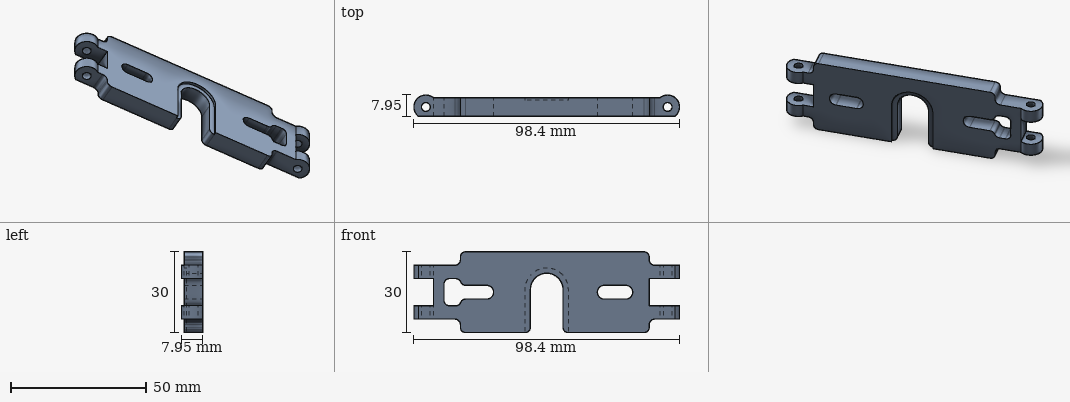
import cadquery as cq
import math

thickness = 7.0
body_height = 30.0
body_left = -32.0
body_right = 38.0
corner_radius = 2.0

arm_height = 5.0
arm_gap = 10.0
arm_span = arm_gap + 2 * arm_height
left_notch_end = -42.0
right_notch_end = body_right

eye_x = 44.75
eye_radius = 4.45
eye_y = thickness / 2
pin_diameter = 3.2

u_slot_width = 12.0
u_slot_center_z = 1.0

recess_depth = 1.0
recess_margin = 2.0

slot_width = 5.0
right_slot_start = 18.8
right_slot_end = 31.8
left_slot_end = -19.7

window_left = -38.0
window_height = 10.0
neck_end = body_left + corner_radius


def block(x_start, x_end, height, depth=thickness):
    """Box centred on Z = 0 that reaches back from the front face at Y = 0."""
    box = cq.Workplane("XY").box(x_end - x_start, depth, height, centered=(False, False, True))
    return box.translate((x_start, 0, 0))


def corner(x, z):
    """Selector for the edge parallel to Y that passes through (x, z)."""
    reach = 0.1
    return cq.selectors.BoxSelector(
        (x - reach, -reach, z - reach), (x + reach, thickness + reach, z + reach)
    )


def round_corners(solid, points, radius):
    """Fillet the edges parallel to Y at the given (x, z) points."""
    for x, z in points:
        solid = solid.edges("|Y").edges(corner(x, z)).fillet(radius)
    return solid


def mirrored_corners(x_values, z):
    """(x, z) points above and below the middle of the plate."""
    return [(x, side * z) for x in x_values for side in (1, -1)]


def eyes(diameter):
    """Upright cylinders on both hinge axes, as tall as the arm span."""
    return (
        cq.Workplane("XY", origin=(0, eye_y, -arm_span / 2))
        .pushPoints([(-eye_x, 0), (eye_x, 0)])
        .circle(diameter / 2)
        .extrude(arm_span)
    )


def make_body():
    """Plate with hinge arms, without the inner slots."""
    tip = eye_x + eye_radius
    eye_back = eye_y + eye_radius
    ends = [body_left, body_right]

    body = block(body_left, body_right, body_height).union(block(-eye_x, eye_x, arm_span))
    body = round_corners(body, mirrored_corners(ends, body_height / 2), corner_radius)
    body = round_corners(body, mirrored_corners(ends, arm_span / 2), corner_radius)

    trimmed_eyes = eyes(2 * eye_radius).intersect(block(-tip, tip, arm_span, eye_back))
    body = body.union(trimmed_eyes).cut(eyes(pin_diameter))

    body = body.cut(block(-tip, left_notch_end, arm_gap, eye_back))
    return body.cut(block(right_notch_end, tip, arm_gap, eye_back))


def u_slot(half_width, depth):
    """Cutter for a round-topped slot open at the lower edge, starting at the front face."""
    bottom = -body_height / 2
    return (
        cq.Workplane("XZ")
        .moveTo(-half_width, bottom)
        .lineTo(-half_width, u_slot_center_z)
        .threePointArc((0, u_slot_center_z + half_width), (half_width, u_slot_center_z))
        .lineTo(half_width, bottom)
        .close()
        .extrude(-depth)
    )


def cut_u_slot(body):
    """Through slot with rounded mouth corners, and the wider recess behind it."""
    half_width = u_slot_width / 2
    bottom = -body_height / 2
    body = body.cut(u_slot(half_width, thickness))
    body = round_corners(body, [(-half_width, bottom), (half_width, bottom)], corner_radius)
    recess = u_slot(half_width + recess_margin, recess_depth)
    return body.cut(recess.translate((0, thickness - recess_depth, 0)))


def straight_slot(x_start, x_end):
    """Cutter for a round-ended slot on the middle line."""
    return (
        cq.Workplane("XZ")
        .center((x_start + x_end) / 2, 0)
        .slot2D(x_end - x_start, slot_width)
        .extrude(-thickness)
    )


def make_window():
    """Cutter for the window, which narrows to the slot through two tangent arcs on each side."""
    half_height = window_height / 2
    half_slot = slot_width / 2
    left_arc_x = window_left + corner_radius
    arc_z = half_height - corner_radius
    diagonal_reach = corner_radius * math.sqrt(0.5)

    neck_angle = math.acos(1 - (half_height - half_slot) / (2 * corner_radius))
    arc_run = corner_radius * math.sin(neck_angle)
    half_run = corner_radius * math.sin(neck_angle / 2)
    half_drop = corner_radius * (1 - math.cos(neck_angle / 2))
    neck_start = neck_end - 2 * arc_run
    join = (neck_end - arc_run, (half_height + half_slot) / 2)

    upper_half = (
        cq.Workplane("XZ")
        .moveTo(window_left, 0)
        .lineTo(window_left, arc_z)
        .threePointArc((left_arc_x - diagonal_reach, arc_z + diagonal_reach), (left_arc_x, half_height))
        .lineTo(neck_start, half_height)
        .threePointArc((neck_start + half_run, half_height - half_drop), join)
        .threePointArc((neck_end - half_run, half_slot + half_drop), (neck_end, half_slot))
        .lineTo(neck_end, 0)
        .close()
        .extrude(-thickness)
    )
    return upper_half.union(upper_half.mirror("XY"))


def key_slot():
    """Cutter for the left slot, which opens into the wide window."""
    return make_window().union(straight_slot(window_left, left_slot_end))


result = cut_u_slot(make_body())
result = result.cut(straight_slot(right_slot_start, right_slot_end))
result = result.cut(key_slot())